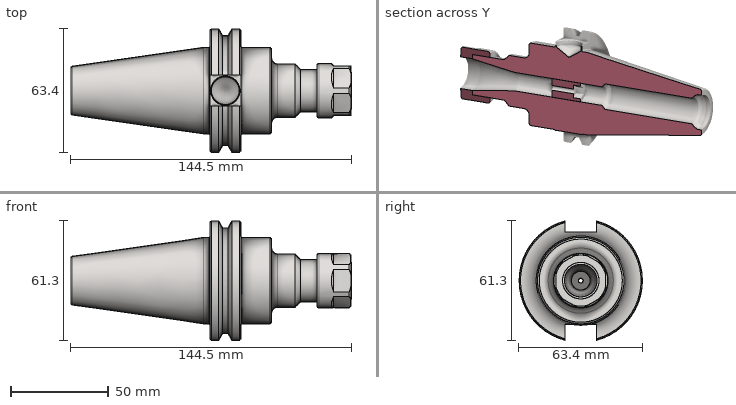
import cadquery as cq
import math

OVERCUT = 1.5

TIP_D = 24.8
TIP_ROUND = 1.2
GAUGE_D = 44.5
GAUGE_X = 68.3

FLANGE_D = 63.4
FLANGE_X = 71.5
FLANGE_LENGTH = 15.9
FLANGE_END = FLANGE_X + FLANGE_LENGTH
FLANGE_CHAMFER = 0.7
FLANGE_FRONT_FILLET = 0.5
FLANGE_BACK_FILLET = 0.7
GROOVE_D = 56.6
GROOVE_CENTER_X = FLANGE_X + FLANGE_LENGTH / 2
GROOVE_FLOOR_WIDTH = 2.9
GROOVE_WALL_ANGLE = 30.0

SLOT_WIDTH = 16.0
UPPER_SLOT_FLOOR_Z = 25.1
LOWER_SLOT_FLOOR_Z = -22.5
DIMPLE_D = 14.3
DIMPLE_RIM_D = 15.0
DIMPLE_WALL_DEPTH = 2.9
DRILL_POINT_ANGLE = 118.0

BODY_D = 44.5
BODY_END = 103.3
BODY_CHAMFER = 0.9
SHOULDER_D = 27.5
SHOULDER_FILLET = 3.0
SHOULDER_END = 115.3
NOSE_D = 22.0
NOSE_CONE_END = SHOULDER_END + (SHOULDER_D - NOSE_D) / 2
NOSE_END = 137.2

ENTRY_D = 18.3
ENTRY_DEPTH = 2.6
LEAD_IN_D = 16.5
LEAD_IN_END = 4.3
DRAW_BORE_D = 13.5
DRAW_BORE_END = 57.8
SCREW_BORE_D = 9.7
SEAT_D = 16.8
SEAT_HALF_ANGLE = 8.0

SCREW_X = 72.2
SCREW_LENGTH = 17.3
SCREW_HOLE_D = 2.3
SOCKET_ACROSS_FLATS = 5.6
SOCKET_DEPTH = 4.3

NUT_D = 28.0
NUT_X = 126.5
NUT_END = 144.5
NUT_BACK_FILLET = 1.2
NUT_FRONT_CHAMFER = 0.9
NUT_LIP_D = 18.8
NUT_LIP_HEIGHT = 0.5
HEX_ACROSS_FLATS = 25.5
HEX_FLAT_X = 135.2
HEX_SIDES = 6


def cone_length(large_d, small_d, half_angle):
    """Axial length of a cone between two diameters."""
    return (large_d - small_d) / 2 / math.tan(math.radians(half_angle))


def turned(stations):
    """Solid turned about X from (x, diameter) stations."""
    outline = [(x, d / 2) for x, d in stations]
    closed = [(stations[0][0], 0)] + outline + [(stations[-1][0], 0)]
    return cq.Workplane("XY").polyline(closed).close().revolve(360, (0, 0), (1, 0))


def rounded_at(body, x, diameter, radius):
    """Fillet the circular edge of the given diameter at x."""
    reach = 0.07
    near = (x - reach, -diameter / 2 - reach, -diameter / 2 - reach)
    far = (x + reach, diameter / 2 + reach, diameter / 2 + reach)
    ring = body.edges(cq.selectors.BoxSelector(near, far, boundingbox=True))
    ring = ring.edges(cq.selectors.RadiusNthSelector(-1))
    return body.newObject(ring.vals()).fillet(radius)


def holder_blank():
    chamfered_d = FLANGE_D - 2 * FLANGE_CHAMFER
    blank = turned([
        (0, TIP_D),
        (GAUGE_X, GAUGE_D),
        (FLANGE_X, GAUGE_D),
        (FLANGE_X, chamfered_d),
        (FLANGE_X + FLANGE_CHAMFER, FLANGE_D),
        (FLANGE_END - FLANGE_CHAMFER, FLANGE_D),
        (FLANGE_END, chamfered_d),
        (FLANGE_END, BODY_D),
        (BODY_END - BODY_CHAMFER, BODY_D),
        (BODY_END, BODY_D - 2 * BODY_CHAMFER),
        (BODY_END, SHOULDER_D),
        (SHOULDER_END, SHOULDER_D),
        (NOSE_CONE_END, NOSE_D),
        (NOSE_END, NOSE_D),
    ])
    blank = rounded_at(blank, 0, TIP_D, TIP_ROUND)
    blank = rounded_at(blank, FLANGE_X, GAUGE_D, FLANGE_FRONT_FILLET)
    blank = rounded_at(blank, FLANGE_END, BODY_D, FLANGE_BACK_FILLET)
    return rounded_at(blank, BODY_END, SHOULDER_D, SHOULDER_FILLET)


def flange_groove():
    half_floor = GROOVE_FLOOR_WIDTH / 2
    top_d = FLANGE_D + 2 * OVERCUT
    half_top = half_floor + (top_d - GROOVE_D) / 2 * math.tan(math.radians(GROOVE_WALL_ANGLE))
    profile = [
        (GROOVE_CENTER_X - half_floor, GROOVE_D / 2),
        (GROOVE_CENTER_X + half_floor, GROOVE_D / 2),
        (GROOVE_CENTER_X + half_top, top_d / 2),
        (GROOVE_CENTER_X - half_top, top_d / 2),
    ]
    return cq.Workplane("XY").polyline(profile).close().revolve(360, (0, 0), (1, 0))


def drive_slot(floor_z):
    """Slot from floor_z outwards, across the flange and no further along X."""
    outer_z = math.copysign(FLANGE_D / 2 + OVERCUT, floor_z)
    return (
        cq.Workplane("XY")
        .box(FLANGE_LENGTH, SLOT_WIDTH, abs(outer_z - floor_z))
        .translate((GROOVE_CENTER_X, 0, (outer_z + floor_z) / 2))
    )


def slot_dimple():
    """Drilled recess with a chamfered rim in the floor of the upper slot."""
    rim_depth = (DIMPLE_RIM_D - DIMPLE_D) / 2
    point_depth = DIMPLE_WALL_DEPTH + cone_length(DIMPLE_D, 0, DRILL_POINT_ANGLE / 2)
    profile = [
        (0, 0),
        (DIMPLE_RIM_D / 2, 0),
        (DIMPLE_D / 2, -rim_depth),
        (DIMPLE_D / 2, -DIMPLE_WALL_DEPTH),
        (0, -point_depth),
    ]
    dimple = cq.Workplane("XZ").polyline(profile).close().revolve(360, (0, 0), (0, 1))
    return dimple.translate((GROOVE_CENTER_X, 0, UPPER_SLOT_FLOOR_Z))


def holder_bore():
    seat_start = NOSE_END - cone_length(SEAT_D, SCREW_BORE_D, SEAT_HALF_ANGLE)
    return turned([
        (0, ENTRY_D),
        (ENTRY_DEPTH, ENTRY_D),
        (LEAD_IN_END, LEAD_IN_D),
        (LEAD_IN_END + (LEAD_IN_D - DRAW_BORE_D) / 2, DRAW_BORE_D),
        (DRAW_BORE_END, DRAW_BORE_D),
        (DRAW_BORE_END + (DRAW_BORE_D - SCREW_BORE_D) / 2, SCREW_BORE_D),
        (seat_start, SCREW_BORE_D),
        (NOSE_END, SEAT_D),
    ])


def make_holder():
    return (
        holder_blank()
        .cut(flange_groove())
        .cut(drive_slot(UPPER_SLOT_FLOOR_Z))
        .cut(drive_slot(LOWER_SLOT_FLOOR_Z))
        .cut(slot_dimple())
        .cut(holder_bore())
    )


def make_stop_screw():
    """Plain plug in the holder bore, with a hex socket and a through hole."""
    socket_across_corners = SOCKET_ACROSS_FLATS / math.cos(math.pi / HEX_SIDES)
    plug = turned([(SCREW_X, SCREW_BORE_D), (SCREW_X + SCREW_LENGTH, SCREW_BORE_D)])
    hole = turned([(SCREW_X, SCREW_HOLE_D), (SCREW_X + SCREW_LENGTH, SCREW_HOLE_D)])
    socket = (
        cq.Workplane("YZ", origin=(SCREW_X, 0, 0))
        .transformed(rotate=(0, 0, 90))
        .polygon(HEX_SIDES, socket_across_corners)
        .extrude(SOCKET_DEPTH)
    )
    return plug.cut(hole).cut(socket)


def hex_flat_cutter():
    """Cutter for the flat facing -Y, with a 45 degree run-out towards the collar."""
    flat_y = HEX_ACROSS_FLATS / 2
    outer_y = NUT_D / 2 + OVERCUT
    profile = [
        (HEX_FLAT_X, -flat_y),
        (NUT_END + OVERCUT, -flat_y),
        (NUT_END + OVERCUT, -outer_y),
        (HEX_FLAT_X - (outer_y - flat_y), -outer_y),
    ]
    return cq.Workplane("XY").polyline(profile).close().extrude(NUT_D / 2, both=True)


def make_nut():
    face_x = NUT_END - NUT_LIP_HEIGHT
    nut = turned([
        (NUT_X, NUT_D),
        (face_x - NUT_FRONT_CHAMFER, NUT_D),
        (face_x, NUT_D - 2 * NUT_FRONT_CHAMFER),
        (face_x, NUT_LIP_D),
        (NUT_END, NUT_LIP_D),
    ])
    nut = rounded_at(nut, NUT_X, NUT_D, NUT_BACK_FILLET)
    for side in range(HEX_SIDES):
        nut = nut.cut(hex_flat_cutter().rotate((0, 0, 0), (1, 0, 0), side * 360 / HEX_SIDES))
    nose_recess = turned([(NUT_X, NOSE_D), (NOSE_END, NOSE_D)])
    collet_opening = turned([(NOSE_END, SEAT_D), (NUT_END, SEAT_D)])
    return nut.cut(nose_recess).cut(collet_opening)


holder = make_holder()
stop_screw = make_stop_screw()
nut = make_nut()

result = cq.Compound.makeCompound([holder.val(), stop_screw.val(), nut.val()])